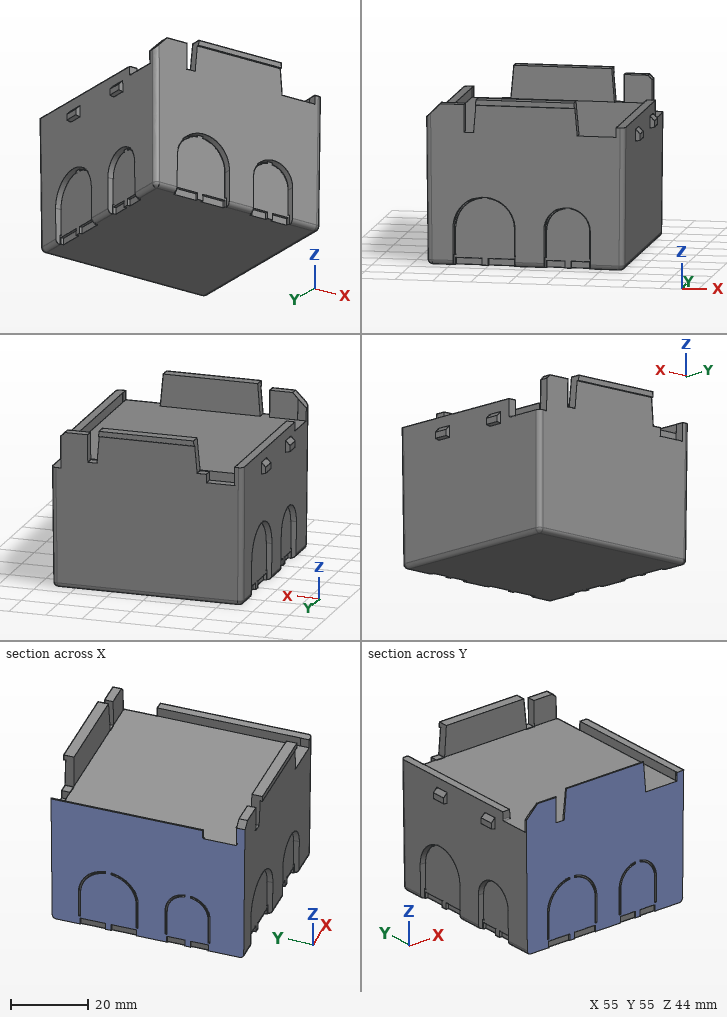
import cadquery as cq
import math

BASE_X = 52.0
BASE_Y = 53.1
DRAFT = 0.5
EDGE_RADIUS = 1.3
FLOOR_Z = 35.25
CORNER_TOP_Z = 42.55
RIM_TOP_Z = 37.75
TAB_TOP_Z = 44.0
OVERALL = 55.0

INNER_X = 47.9
INNER_Y = 48.8
INNER_DRAFT = 1.3

TAB_FOOT_WIDTH = 27.4
TAB_TOP_WIDTH = 25.9

CORNER_INNER_X = 16.25
POST_CHAMFER = 3.8
REAR_BLOCK_OUTER_X = 23.65
REAR_BLOCK_CHAMFER = 1.1
REAR_SLOT_DROP = 0.2

RIM_END_Y = 15.2
LOWERED_Z = FLOOR_Z - (RIM_TOP_Z - FLOOR_Z)
LEFT_RIM_FOOT_RADIUS = 0.3
NOTCH_FOOT_RADIUS = 0.5

NUB_Y = 9.87
NUB_WIDTH = 4.2
NUB_TOP_Z = 34.9
NUB_TIP_TOP_Z = 33.65
NUB_TIP_BOTTOM_Z = 32.0
NUB_BOTTOM_Z = 31.7

ARCH_OFFSET = 10.97
ARCH_SPRING_Z = 10.0
LARGE_ARCH_RADIUS = 8.2
SMALL_ARCH_RADIUS = 6.15
GROOVE_WIDTH = 0.45
PANEL_DEPTH = 1.3
GROOVE_DEPTH = 0.8
GROOVE_BOTTOM_Z = 2.6
POCKET_TOP_Z = 1.85
BRIDGE_WIDTH = 1.65

REACH = OVERALL


def side_wall_x(z):
    """Distance of the outer side wall faces from the centre at height z."""
    return BASE_X / 2 + z * math.tan(math.radians(DRAFT))


def block(x0, x1, y0, y1, z0, z1):
    """Box between two opposite corners."""
    return cq.Workplane("XY").box(x1 - x0, y1 - y0, z1 - z0, centered=False).translate((x0, y0, z0))


def profile_xz(points, y0, y1):
    """XZ outline extruded from y0 to y1."""
    return cq.Workplane("XZ", origin=(0, y0, 0)).polyline(points).close().extrude(y0 - y1)


def drafted_block(foot_x, foot_y, foot_z, draft):
    """Centred block from foot_z to the tab tops whose sides lean outwards by `draft` degrees."""
    height = TAB_TOP_Z - foot_z
    growth = 2 * height * math.tan(math.radians(draft))
    return (
        cq.Workplane("XY", origin=(0, 0, foot_z))
        .rect(foot_x, foot_y)
        .workplane(offset=height)
        .rect(foot_x + growth, foot_y + growth)
        .loft(ruled=True)
    )


def envelope():
    """Drafted outer form up to the top of the tabs, with rounded corners and underside."""
    form = drafted_block(BASE_X, BASE_Y, 0, DRAFT)
    form = form.edges("not(|X or |Y)").fillet(EDGE_RADIUS)
    return form.faces("<Z").edges().fillet(EDGE_RADIUS)


def tab_profile():
    """XZ outline of a tab, narrowing from the floor to its top."""
    return [
        (-TAB_FOOT_WIDTH / 2, FLOOR_Z),
        (TAB_FOOT_WIDTH / 2, FLOOR_Z),
        (TAB_TOP_WIDTH / 2, TAB_TOP_Z),
        (-TAB_TOP_WIDTH / 2, TAB_TOP_Z),
    ]


def upstand_regions():
    """Regions of the envelope that stay standing above the floor."""
    inner_x = INNER_X / 2
    inner_y = INNER_Y / 2
    tabs = profile_xz(tab_profile(), -REACH, REACH)

    post = block(-REACH, -CORNER_INNER_X, -REACH, -inner_y, FLOOR_Z, CORNER_TOP_Z)
    outer_x = side_wall_x(CORNER_TOP_Z)
    slope = profile_xz(
        [
            (-outer_x, CORNER_TOP_Z - POST_CHAMFER),
            (-outer_x, CORNER_TOP_Z),
            (-outer_x + POST_CHAMFER, CORNER_TOP_Z),
        ],
        -REACH,
        0,
    )
    post = post.cut(slope)

    rear = profile_xz(
        [
            (CORNER_INNER_X, FLOOR_Z),
            (REAR_BLOCK_OUTER_X, FLOOR_Z),
            (REAR_BLOCK_OUTER_X, CORNER_TOP_Z - REAR_BLOCK_CHAMFER),
            (REAR_BLOCK_OUTER_X - REAR_BLOCK_CHAMFER, CORNER_TOP_Z),
            (CORNER_INNER_X, CORNER_TOP_Z),
        ],
        inner_y,
        REACH,
    )
    left_rim = block(-REACH, -inner_x, -RIM_END_Y, REACH, FLOOR_Z, RIM_TOP_Z)
    right_rim = block(inner_x, REACH, -REACH, RIM_END_Y, FLOOR_Z, RIM_TOP_Z)
    return tabs.union(post).union(rear).union(left_rim).union(right_rim)


def enclosed_space():
    """Open space between the upstanding walls, widening slightly upwards."""
    return drafted_block(INNER_X, INNER_Y, FLOOR_Z, INNER_DRAFT)


def walled_body():
    """Closed block with the upstanding wall pieces on top."""
    above_floor = block(-REACH, REACH, -REACH, REACH, FLOOR_Z, REACH)
    walls = upstand_regions().cut(enclosed_space())
    return envelope().cut(above_floor.cut(walls))


def foot_fillet(x0, x1, y, z, radius, side):
    """Concave fillet along X against a step facing `side` (+1 or -1 in Y)."""
    bar = block(x0, x1, min(y, y + side * radius), max(y, y + side * radius), z, z + radius)
    round_cut = (
        cq.Workplane("YZ", origin=(x0, y + side * radius, z + radius)).circle(radius).extrude(x1 - x0)
    )
    return bar.cut(round_cut)


def lowered_walls():
    """Material taken off the rear wall and the rear of the right wall."""
    inner_x = INNER_X / 2
    inner_y = INNER_Y / 2
    tab_foot = TAB_FOOT_WIDTH / 2
    left = block(-inner_x, -CORNER_INNER_X, inner_y, REACH, LOWERED_Z, FLOOR_Z)
    right = block(inner_x, REACH, RIM_END_Y, REACH, LOWERED_Z, FLOOR_Z)
    right = right.cut(foot_fillet(inner_x, REACH, RIM_END_Y, LOWERED_Z, NOTCH_FOOT_RADIUS, 1))
    corner = block(REAR_BLOCK_OUTER_X, REACH, inner_y, REACH, LOWERED_Z, FLOOR_Z)
    cut = left.union(right).union(corner)
    for x0, x1 in ((-CORNER_INNER_X, -tab_foot), (tab_foot, CORNER_INNER_X)):
        cut = cut.union(block(x0, x1, inner_y, REACH, FLOOR_Z - REAR_SLOT_DROP, FLOOR_Z))
    return cut


def tab_lips():
    """Heads of both tabs, overhanging the outer walls."""
    band = block(-REACH, REACH, -OVERALL / 2, OVERALL / 2, CORNER_TOP_Z, TAB_TOP_Z)
    band = band.cut(enclosed_space())
    return band.intersect(profile_xz(tab_profile(), -REACH, REACH))


def nubs():
    """Wedge-topped snap nubs, two on each side wall."""
    root = BASE_X / 2
    wall = side_wall_x(NUB_BOTTOM_Z)
    tip = OVERALL / 2
    outline = [
        (root, NUB_BOTTOM_Z),
        (wall, NUB_BOTTOM_Z),
        (tip, NUB_TIP_BOTTOM_Z),
        (tip, NUB_TIP_TOP_Z),
        (wall, NUB_TOP_Z),
        (root, NUB_TOP_Z),
    ]
    group = cq.Workplane("XY")
    for y in (-NUB_Y, NUB_Y):
        nub = profile_xz(outline, y - NUB_WIDTH / 2, y + NUB_WIDTH / 2)
        group = group.union(nub).union(nub.mirror("YZ"))
    return group


def arch(centre_x, radius, bottom_z, y0, y1):
    """Round-headed opening shape, extruded from y0 to y1."""
    return (
        cq.Workplane("XZ", origin=(centre_x, y0, 0))
        .moveTo(-radius, bottom_z)
        .lineTo(-radius, ARCH_SPRING_Z)
        .threePointArc((0, ARCH_SPRING_Z + radius), (radius, ARCH_SPRING_Z))
        .lineTo(radius, bottom_z)
        .close()
        .extrude(y0 - y1)
    )


def knockout(centre_x, radius, wall_y):
    """Cutter for one knockout in a wall facing -Y whose foot is at wall_y."""
    panel_y = wall_y + PANEL_DEPTH
    deep_y = panel_y + GROOVE_DEPTH
    inner_radius = radius - GROOVE_WIDTH
    recess = arch(centre_x, radius, 0, wall_y - PANEL_DEPTH, panel_y)
    groove = arch(centre_x, radius, GROOVE_BOTTOM_Z, panel_y, deep_y)
    groove = groove.cut(arch(centre_x, inner_radius, 0, panel_y, deep_y))
    pockets = block(centre_x - inner_radius, centre_x + inner_radius, panel_y, deep_y, 0, POCKET_TOP_Z)
    web = block(centre_x - BRIDGE_WIDTH / 2, centre_x + BRIDGE_WIDTH / 2, panel_y, deep_y, 0, REACH)
    return recess.union(groove.union(pockets).cut(web))


def wall_knockouts(large_x, wall_y):
    """Large and small knockout side by side in a wall facing -Y."""
    return knockout(large_x, LARGE_ARCH_RADIUS, wall_y).union(knockout(-large_x, SMALL_ARCH_RADIUS, wall_y))


front_knockouts = wall_knockouts(-ARCH_OFFSET, -BASE_Y / 2)
left_knockouts = wall_knockouts(-ARCH_OFFSET, -BASE_X / 2).rotate((0, 0, 0), (0, 0, 1), -90)

left_rim_foot = foot_fillet(
    -side_wall_x(FLOOR_Z), -INNER_X / 2, -RIM_END_Y, FLOOR_Z, LEFT_RIM_FOOT_RADIUS, -1
)

result = walled_body().cut(lowered_walls()).union(tab_lips()).union(nubs())
result = result.union(left_rim_foot)
result = result.cut(front_knockouts).cut(left_knockouts)